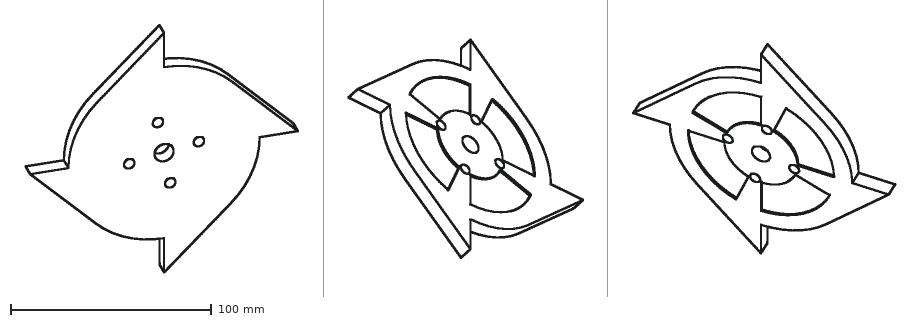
import cadquery as cq
import math

thickness = 8.0
tip_radius = 70.0
body_radius = 50.0
tooth_count = 4
tooth_pitch = 360.0 / tooth_count

bore_diameter = 10.0
bolt_hole_diameter = 5.5
bolt_circle_radius = 18.5

recess_inner_radius = 20.0
recess_outer_radius = 40.0
recess_depth = 1.0
spoke_angle = 20.0

tangent_angle = math.degrees(math.acos(body_radius / tip_radius))


def polar(radius, angle):
    """(Y, Z) point, with the angle in degrees from +Z towards -Y."""
    turn = math.radians(angle)
    return (-radius * math.sin(turn), radius * math.cos(turn))


def make_blank():
    outline = cq.Workplane("YZ", origin=(-thickness / 2, 0, 0)).moveTo(*polar(tip_radius, 0))
    for tooth in range(tooth_count):
        start = tooth * tooth_pitch
        end = start + tooth_pitch
        arc_start = start + tangent_angle
        outline = outline.lineTo(*polar(body_radius, arc_start))
        outline = outline.threePointArc(
            polar(body_radius, (arc_start + end) / 2), polar(body_radius, end)
        )
        if tooth < tooth_count - 1:
            outline = outline.lineTo(*polar(tip_radius, end))
    return outline.close().extrude(thickness)


def make_recess(start, end):
    middle = (start + end) / 2
    return (
        cq.Workplane("YZ", origin=(-thickness / 2, 0, 0))
        .moveTo(*polar(recess_inner_radius, start))
        .lineTo(*polar(recess_outer_radius, start))
        .threePointArc(polar(recess_outer_radius, middle), polar(recess_outer_radius, end))
        .lineTo(*polar(recess_inner_radius, end))
        .threePointArc(polar(recess_inner_radius, middle), polar(recess_inner_radius, start))
        .close()
        .extrude(recess_depth)
    )


def make_hole(diameter, center):
    return (
        cq.Workplane("YZ", origin=(-thickness / 2, 0, 0))
        .center(*center)
        .circle(diameter / 2)
        .extrude(thickness)
    )


result = make_blank().cut(make_hole(bore_diameter, (0, 0)))
for index in range(tooth_count):
    spoke_start = index * tooth_pitch
    recess_start = spoke_start + spoke_angle
    recess_end = spoke_start + tooth_pitch
    bolt_center = polar(bolt_circle_radius, spoke_start + spoke_angle / 2)
    result = result.cut(make_recess(recess_start, recess_end))
    result = result.cut(make_hole(bolt_hole_diameter, bolt_center))